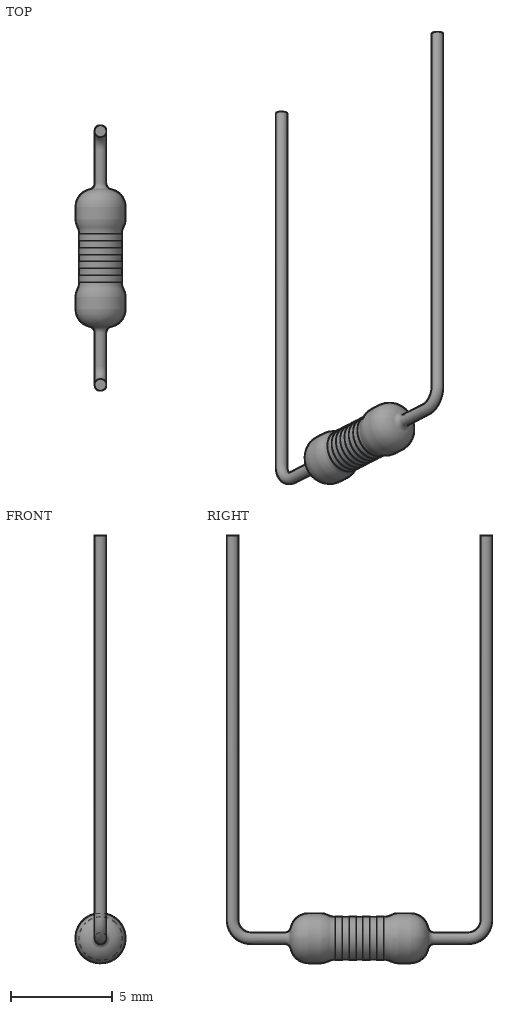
import cadquery as cq
import math

overall_height = 21.1
overall_length = 13.1
lead_radius = 0.6 / 2
bend_radius = 0.9
cap_radius = 2.5 / 2
waist_radius = 2.13 / 2
band_radius = 2.15 / 2
waist_end_y = 1.2
cap_inner_y = 1.92
cap_outer_y = 2.51
end_round_radius = 0.9
collar_end_y = 3.67
band_count = 4

lead_y = overall_length / 2 - lead_radius
lead_top = overall_height - cap_radius
band_width = 2 * waist_end_y / (2 * band_count - 1)

round_center_r = cap_radius - end_round_radius
collar_run = collar_end_y - cap_outer_y
collar_rise = lead_radius - round_center_r
collar_radius = (collar_run**2 + collar_rise**2 - end_round_radius**2) / (
    2 * (end_round_radius - collar_rise)
)
collar_angle = math.atan2(collar_rise + collar_radius, collar_run)
collar_start = (
    round_center_r + end_round_radius * math.sin(collar_angle),
    cap_outer_y + end_round_radius * math.cos(collar_angle),
)

blend_middle = ((waist_radius + cap_radius) / 2, (waist_end_y + cap_inner_y) / 2)
blend_radius = math.hypot(cap_inner_y - waist_end_y, cap_radius - waist_radius) ** 2 / (
    4 * (cap_radius - waist_radius)
)
blend_half_angle = math.asin((cap_inner_y - waist_end_y) / 2 / blend_radius) / 2
blend_quarter = (
    waist_radius + blend_radius * (1 - math.cos(blend_half_angle)),
    waist_end_y + blend_radius * math.sin(blend_half_angle),
)


def make_cap():
    """Revolve the +Y cap with its blend and collar; profile points are (radius, y)."""
    return (
        cq.Workplane("XY")
        .moveTo(0, waist_end_y)
        .lineTo(waist_radius, waist_end_y)
        .threePointArc(blend_quarter, blend_middle)
        .tangentArcPoint((cap_radius, cap_inner_y), relative=False)
        .lineTo(cap_radius, cap_outer_y)
        .tangentArcPoint(collar_start, relative=False)
        .tangentArcPoint((lead_radius, collar_end_y), relative=False)
        .lineTo(0, collar_end_y)
        .close()
        .revolve(360, (0, 0, 0), (0, 1, 0))
    )


def make_disc(radius, start_y, length):
    """Cylinder on the body axis, running toward +Y from start_y."""
    return cq.Workplane("XZ", origin=(0, start_y, 0)).circle(radius).extrude(-length)


def make_lead():
    """Round wire running out along +Y and bending up to +Z."""
    path = (
        cq.Workplane("YZ")
        .lineTo(lead_y - bend_radius, 0)
        .tangentArcPoint((lead_y, bend_radius), relative=False)
        .lineTo(lead_y, lead_top)
    )
    return cq.Workplane("XZ").circle(lead_radius).sweep(path)


cap = make_cap()
body = make_disc(waist_radius, -waist_end_y, 2 * waist_end_y).union(cap).union(cap.mirror("XZ"))

for index in range(band_count):
    band_start_y = -waist_end_y + 2 * index * band_width
    body = body.union(make_disc(band_radius, band_start_y, band_width))

lead = make_lead()
result = body.union(lead).union(lead.mirror("XZ"))